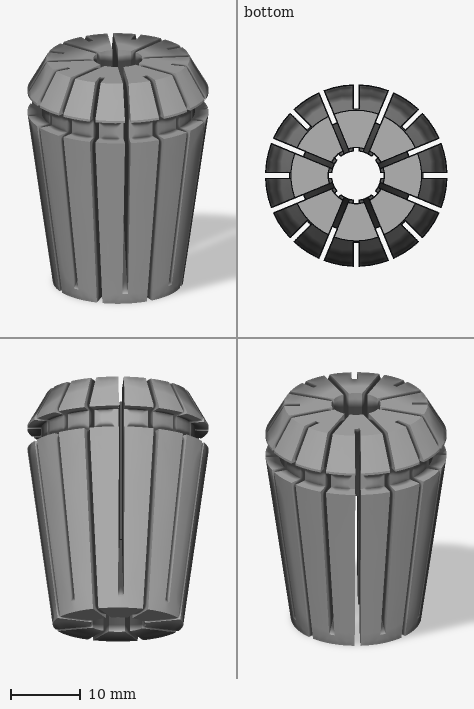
import cadquery as cq
import math

length = 34.0
outer_radius = 13.0
body_angle = 8.0
body_top = 25.87
groove_radius = 11.0
head_bottom = 28.97
rim_height = 0.35
nose_angle = 30.0

bore_radius = 3.55
relief_radius = 4.0
relief_depth = 13.6

slot_count = 8
slot_width = 0.8
slot_arc_radius = 34.0
top_slot_floor = 1.53
top_slot_inner_floor = 10.25
bottom_slot_end = 8.02
bottom_slot_inner_end = 21.08
clearance = 1.7

bottom_radius = outer_radius - body_top * math.tan(math.radians(body_angle))
rim_top = head_bottom + rim_height
nose_radius = outer_radius - (length - rim_top) * math.tan(math.radians(nose_angle))


def arc_middle(start, end, radius, side):
    """Midpoint of a minor arc; side is +1 to bulge left of start-to-end, -1 to bulge right."""
    dx = end[0] - start[0]
    dz = end[1] - start[1]
    chord = math.hypot(dx, dz)
    bulge = radius - math.sqrt(radius**2 - (chord / 2) ** 2)
    middle_x = (start[0] + end[0]) / 2 - side * bulge * dz / chord
    middle_z = (start[1] + end[1]) / 2 + side * bulge * dx / chord
    return (middle_x, middle_z)


def make_body():
    profile = [
        (0, 0),
        (bottom_radius, 0),
        (outer_radius, body_top),
        (groove_radius, body_top),
        (groove_radius, head_bottom),
        (outer_radius, head_bottom),
        (outer_radius, rim_top),
        (nose_radius, length),
        (0, length),
    ]
    body = cq.Workplane("XZ").polyline(profile).close().revolve(360, (0, 0), (0, 1))
    bore = cq.Workplane("XY").circle(bore_radius).extrude(length)
    relief = cq.Workplane("XY").circle(relief_radius).extrude(relief_depth)
    return body.cut(bore).cut(relief)


def make_top_slot():
    """Slot open at the nose, its floor falling in an arc from the bore to the outside."""
    inner = (relief_radius, top_slot_inner_floor)
    floor_radius = bottom_radius + top_slot_floor * math.tan(math.radians(body_angle))
    outer = (floor_radius, top_slot_floor)
    far = outer_radius + clearance
    return (
        cq.Workplane("XZ")
        .moveTo(0, top_slot_inner_floor)
        .lineTo(*inner)
        .threePointArc(arc_middle(inner, outer, slot_arc_radius, -1), outer)
        .lineTo(far, top_slot_floor)
        .lineTo(far, length + clearance)
        .lineTo(0, length + clearance)
        .close()
        .extrude(slot_width / 2, both=True)
    )


def make_bottom_slot():
    """Slot open at the narrow end, its ceiling rising in an arc from the bore to the top face."""
    inner = (bore_radius, bottom_slot_inner_end)
    outer = (bottom_slot_end, length)
    far = outer_radius + clearance
    return (
        cq.Workplane("XZ")
        .moveTo(0, -clearance)
        .lineTo(0, bottom_slot_inner_end)
        .lineTo(*inner)
        .threePointArc(arc_middle(inner, outer, slot_arc_radius, 1), outer)
        .lineTo(bottom_slot_end, length + clearance)
        .lineTo(far, length + clearance)
        .lineTo(far, -clearance)
        .close()
        .extrude(slot_width / 2, both=True)
    )


result = make_body()
top_slot = make_top_slot()
bottom_slot = make_bottom_slot()
slot_step = 360 / slot_count
for index in range(slot_count):
    top_slot_direction = index * slot_step
    bottom_slot_direction = top_slot_direction + slot_step / 2
    result = result.cut(top_slot.rotate((0, 0, 0), (0, 0, 1), top_slot_direction))
    result = result.cut(bottom_slot.rotate((0, 0, 0), (0, 0, 1), bottom_slot_direction))